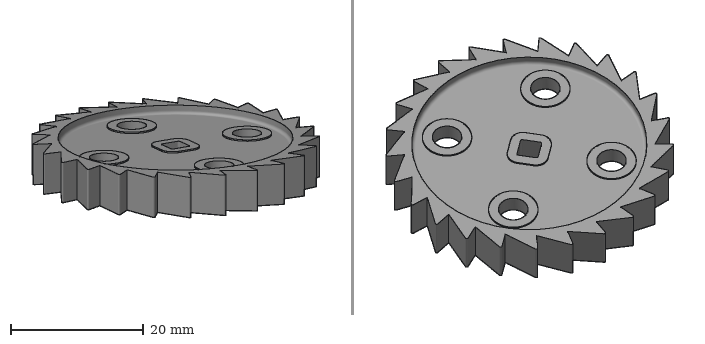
import cadquery as cq
import math

tooth_count = 25
tip_radius = 22.05
root_radius = 19.05
tip_rounding = 0.2
body_height = 6.35

recess_radius = 17.8
upper_recess_depth = 1.4
lower_recess_depth = 2.57
recess_fillet = 0.52

pad_count = 4
pad_circle_radius = 12.7
pad_radius = 3.75
pad_hole_radius = 2.22
pad_height = 0.2

square_pad_side = 6.3
square_pad_rounding = 1.87
drive_side = 3.25
drive_rounding = 0.3
hub_radius = 3.95
hub_height = 1.75

floor_height = body_height - upper_recess_depth
overall_height = hub_height + body_height


def polar_point(radius, clockwise_angle):
    """Point at an angle measured clockwise from +Y."""
    return (radius * math.sin(clockwise_angle), radius * math.cos(clockwise_angle))


def ratchet_body():
    """Toothed disc: each tooth has a radial face and a straight sloping back."""
    outline = []
    for tooth in range(tooth_count):
        angle = tooth * math.tau / tooth_count
        outline.append(polar_point(root_radius, angle))
        outline.append(polar_point(tip_radius, angle))
    disc = cq.Workplane("XY").polyline(outline).close().extrude(body_height)

    middle_radius = (root_radius + tip_radius) / 2
    tip_edges = disc.edges("|Z").filter(
        lambda edge: math.hypot(edge.Center().x, edge.Center().y) > middle_radius
    )
    return tip_edges.fillet(tip_rounding)


def upper_recess():
    """Shallow round recess with a filleted floor corner."""
    floor = cq.Workplane("XY").workplane(offset=floor_height)
    cutter = floor.circle(recess_radius).extrude(upper_recess_depth)
    return cutter.faces("<Z").edges().fillet(recess_fillet)


def lower_recess():
    """Deeper round recess under the web, with a matching filleted corner."""
    cutter = cq.Workplane("XY").circle(recess_radius).extrude(lower_recess_depth)
    return cutter.faces(">Z").edges().fillet(recess_fillet)


def rounded_square(side, rounding, bottom, height):
    """Square prism with rounded upright edges, centred on the wheel axis."""
    prism = cq.Workplane("XY").workplane(offset=bottom).rect(side, side).extrude(height)
    return prism.edges("|Z").fillet(rounding)


def pad_cylinders(radius, bottom, height):
    """One cylinder at each pad position."""
    plane = cq.Workplane("XY").workplane(offset=bottom)
    return plane.polarArray(pad_circle_radius, 0, 360, pad_count).circle(radius).extrude(height)


hub_bottom = cq.Workplane("XY").workplane(offset=-hub_height)
hub = hub_bottom.circle(hub_radius).extrude(hub_height + lower_recess_depth)

result = (
    ratchet_body()
    .cut(upper_recess())
    .cut(lower_recess())
    .union(hub)
    .union(pad_cylinders(pad_radius, floor_height, pad_height))
    .union(rounded_square(square_pad_side, square_pad_rounding, floor_height, pad_height))
    .cut(pad_cylinders(pad_hole_radius, 0, body_height))
    .cut(rounded_square(drive_side, drive_rounding, -hub_height, overall_height))
)